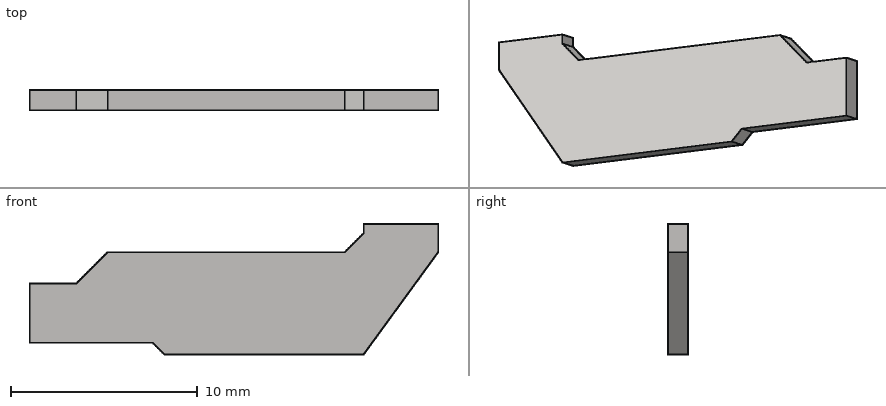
import cadquery as cq

length = 21.9
thickness = 1.1
height = 7.0

tail_bottom = 0.64
tail_top = 3.8
body_top = 5.5
hook_step = 0.5
head_side_bottom = 5.5

tail_top_length = 2.5
tail_bottom_length = 6.6
head_start = 17.9
lower_edge_end = 17.9

body_start = tail_top_length + (body_top - tail_top)
lower_edge_start = tail_bottom_length + tail_bottom
head_ramp_top = height - hook_step
body_end = head_start - (head_ramp_top - body_top)

outline = [
    (0, tail_bottom),
    (tail_bottom_length, tail_bottom),
    (lower_edge_start, 0),
    (lower_edge_end, 0),
    (length, head_side_bottom),
    (length, height),
    (head_start, height),
    (head_start, head_ramp_top),
    (body_end, body_top),
    (body_start, body_top),
    (tail_top_length, tail_top),
    (0, tail_top),
]

result = cq.Workplane("XZ").polyline(outline).close().extrude(thickness / 2, both=True)